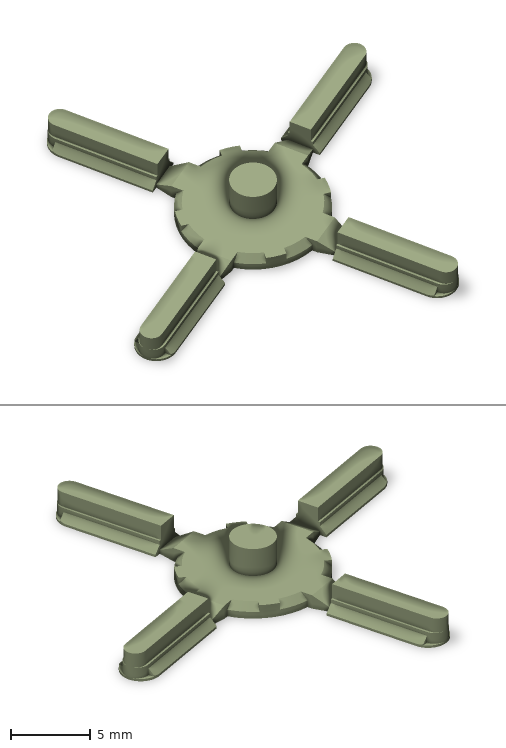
import cadquery as cq

span = 29.0
arm_count = 4
arm_pitch = 360 / arm_count
tip = span / 2

hub_radius = 5.0
hub_height = 1.0
hub_bevel = hub_height / 2
tab_width = 1.33
pin_radius = 1.5
pin_top = 3.0

arm_width = 2.38
ramp_start = 5.2
ramp_end_width = 1.8
ramp_end_height = 0.3

blade_start = 6.4
base_half_width = 1.4
base_height = 0.17
step_half_width = 0.9
step_height = 0.95
block_half_width = 0.75
block_height = 2.0


def repeat_around(body, start_angle=0):
    """Union of evenly spaced copies of a body, as many as there are arms, turned about the Z axis."""
    copies = cq.Workplane("XY")
    for index in range(arm_count):
        copies = copies.union(body.rotate((0, 0, 0), (0, 0, 1), start_angle + index * arm_pitch))
    return copies


def make_hub():
    """Disc with a 45 degree bevelled top rim, left full height at the diagonal tabs."""
    disc = cq.Workplane("XY").circle(hub_radius).extrude(hub_height)
    bevelled = disc.faces(">Z").chamfer(hub_bevel)
    tab = cq.Workplane("XY").rect(2 * hub_radius, tab_width).extrude(hub_height)
    tab = tab.translate((hub_radius, 0, 0))
    tabs = repeat_around(tab, arm_pitch / 2).intersect(disc)
    return bevelled.union(tabs)


def make_arm():
    """Flat arm along +X that slopes down and narrows towards its blade."""
    profile = (
        cq.Workplane("XZ")
        .polyline([
            (0, 0),
            (blade_start, 0),
            (blade_start, ramp_end_height),
            (ramp_start, hub_height),
            (0, hub_height),
        ])
        .close()
        .extrude(arm_width / 2, both=True)
    )
    plan = (
        cq.Workplane("XY")
        .polyline([
            (0, -arm_width / 2),
            (ramp_start, -arm_width / 2),
            (blade_start, -ramp_end_width / 2),
            (blade_start, ramp_end_width / 2),
            (ramp_start, arm_width / 2),
            (0, arm_width / 2),
        ])
        .close()
        .extrude(hub_height)
    )
    return profile.intersect(plan)


def round_ended_bar(half_width, height):
    """Bar from the blade start to the tip, with a half-round outer end."""
    round_start = tip - half_width
    return (
        cq.Workplane("XY")
        .moveTo(blade_start, -half_width)
        .lineTo(round_start, -half_width)
        .threePointArc((tip, 0), (round_start, half_width))
        .lineTo(blade_start, half_width)
        .close()
        .extrude(height)
    )


def make_blade():
    """Three stacked round-ended bars with 45 degree flares along the straight flanks."""
    base = round_ended_bar(base_half_width, base_height)
    step = round_ended_bar(step_half_width, step_height)
    block = round_ended_bar(block_half_width, block_height)
    flare_top = base_height + base_half_width - step_half_width
    flare_end = tip - step_half_width
    flare = (
        cq.Workplane("YZ", origin=(blade_start, 0, 0))
        .polyline([
            (-base_half_width, base_height),
            (base_half_width, base_height),
            (step_half_width, flare_top),
            (-step_half_width, flare_top),
        ])
        .close()
        .extrude(flare_end - blade_start)
        .intersect(round_ended_bar(base_half_width, flare_top))
    )
    return base.union(flare).union(step).union(block)


pin = cq.Workplane("XY").circle(pin_radius).extrude(pin_top)
arms = repeat_around(make_arm().union(make_blade()))
result = make_hub().union(arms).union(pin)